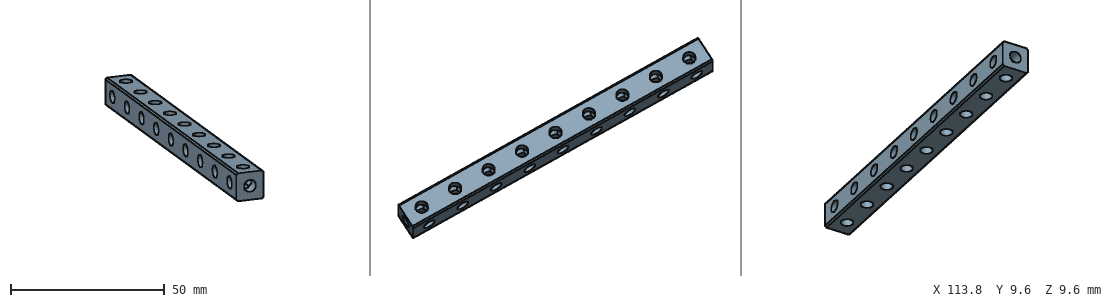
import cadquery as cq

length = 113.8
side = 9.6
edge_chamfer = 0.6

hole_diameter = 4.1
hole_count = 9
row_span = 101.6
hole_pitch = row_span / (hole_count - 1)


def bar():
    """Square bar with its four long edges chamfered."""
    blank = cq.Workplane("XY").box(length, side, side)
    return blank.edges("|X").chamfer(edge_chamfer)


def drill_row(body, face):
    """Drill the row of evenly spaced holes right through from the given face."""
    return (
        body.faces(face)
        .workplane(origin=(0, 0, 0))
        .rarray(hole_pitch, 1.1, hole_count, 1)
        .hole(hole_diameter)
    )


def drill_bore(body):
    """Drill the bore along X through the full length of the bar."""
    return body.faces("<X").workplane(origin=(0, 0, 0)).hole(hole_diameter)


result = bar()
for row_face in (">Z", "<Y"):
    result = drill_row(result, row_face)
result = drill_bore(result)